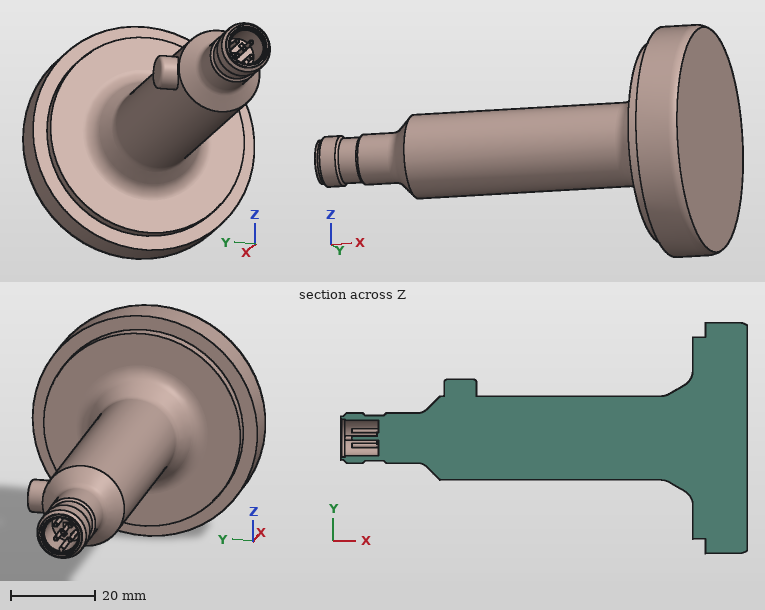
import cadquery as cq
import math

TOTAL_LENGTH = 96.59

TIP_DIA = 10.47
TIP_LENGTH = 0.65
NOSE_DIA = 12.0
GROOVE_DIA = 10.8
EDGE_CHAMFER = (NOSE_DIA - GROOVE_DIA) / 2
GROOVE_START = 5.85
GROOVE_END = 10.25

STEM_DIA = 20.0
SHOULDER_X = 23.6
SHOULDER_ANGLE = math.radians(45)
SHOULDER_FILLET = 3.0

NECK_ANGLE = math.radians(30)
NECK_FILLET = 4.0
NECK_FOOT_DIA = 32.1

STEP_DIA = 48.0
FLANGE_DIA = 54.9
FLANGE_THICKNESS = 10.0
STEP_THICKNESS = 3.0
FLANGE_X = TOTAL_LENGTH - FLANGE_THICKNESS
STEP_X = FLANGE_X - STEP_THICKNESS
RIM_ANGLE = math.radians(30)
RIM_RADIUS = 3.0
RIM_BEVEL_LENGTH = 0.45

BUTTON_DIA = 7.8
BUTTON_X = 28.4
BUTTON_TOP_Y = 14.0
BUTTON_FILLET = 0.8

MOUTH_DIA = 9.45
BORE_DIA = 8.3
THROAT_DIA = 8.9
MOUTH_DEPTH = (MOUTH_DIA - THROAT_DIA) / 2
THROAT_DEPTH = 1.0
BORE_DEPTH = 9.0

PIN_DIA = 1.0
PIN_TIP_X = 2.6
PIN_TIP_CHAMFER = 0.15
PIN_OFFSET = 1.75

TAB_LENGTH = 1.35
TAB_THICKNESS = 1.0
TAB_HEIGHT = 0.4
TAB_TILT_DEG = 45

CONTACT_EMBED = 0.5

RIB_DIA = 1.1
RIB_CENTRE_Z = -3.7
RIB_START_X = THROAT_DEPTH


def tangent_fillet_offsets(radius, angle):
    """Axial and radial travel of an arc that leaves the axis direction and turns by angle."""
    return radius * math.sin(angle), radius * (1 - math.cos(angle))


def make_body():
    tip_r = TIP_DIA / 2
    nose_r = NOSE_DIA / 2
    groove_r = GROOVE_DIA / 2
    stem_r = STEM_DIA / 2
    rim_r = FLANGE_DIA / 2

    run, rise = tangent_fillet_offsets(SHOULDER_FILLET, SHOULDER_ANGLE)
    half_run, half_rise = tangent_fillet_offsets(SHOULDER_FILLET, SHOULDER_ANGLE / 2)
    cone_r = nose_r + rise
    cone_x = SHOULDER_X - (stem_r - cone_r) / math.tan(SHOULDER_ANGLE)
    fillet_x = cone_x - run

    foot_r = NECK_FOOT_DIA / 2
    foot_fillet_x = STEP_X - NECK_FILLET
    flare_end_x = foot_fillet_x + NECK_FILLET * math.sin(NECK_ANGLE)
    flare_end_r = foot_r - NECK_FILLET * math.cos(NECK_ANGLE)
    foot_mid_angle = NECK_ANGLE / 2
    foot_mid_x = foot_fillet_x + NECK_FILLET * math.cos(foot_mid_angle)
    foot_mid_r = foot_r - NECK_FILLET * math.sin(foot_mid_angle)
    neck_run, neck_rise = tangent_fillet_offsets(NECK_FILLET, NECK_ANGLE)
    neck_half_run, neck_half_rise = tangent_fillet_offsets(NECK_FILLET, NECK_ANGLE / 2)
    flare_start_r = stem_r + neck_rise
    flare_start_x = flare_end_x - (flare_end_r - flare_start_r) / math.tan(NECK_ANGLE)
    neck_x = flare_start_x - neck_run

    rim_run, rim_drop = tangent_fillet_offsets(RIM_RADIUS, RIM_ANGLE)
    rim_half_run, rim_half_drop = tangent_fillet_offsets(RIM_RADIUS, RIM_ANGLE / 2)
    bevel_x = TOTAL_LENGTH - RIM_BEVEL_LENGTH
    bevel_r = rim_r - rim_drop
    rim_x = bevel_x - rim_run
    end_r = bevel_r - RIM_BEVEL_LENGTH * math.tan(RIM_ANGLE)

    profile = (
        cq.Workplane("XY")
        .moveTo(0, 0)
        .lineTo(0, tip_r)
        .lineTo(TIP_LENGTH, tip_r)
        .lineTo(TIP_LENGTH + nose_r - tip_r, nose_r)
        .lineTo(GROOVE_START - EDGE_CHAMFER, nose_r)
        .lineTo(GROOVE_START, groove_r)
        .lineTo(GROOVE_END, groove_r)
        .lineTo(GROOVE_END + EDGE_CHAMFER, nose_r)
        .lineTo(fillet_x, nose_r)
        .threePointArc((fillet_x + half_run, nose_r + half_rise), (cone_x, cone_r))
        .lineTo(SHOULDER_X, stem_r)
        .lineTo(neck_x, stem_r)
        .threePointArc(
            (neck_x + neck_half_run, stem_r + neck_half_rise),
            (flare_start_x, flare_start_r),
        )
        .lineTo(flare_end_x, flare_end_r)
        .threePointArc((foot_mid_x, foot_mid_r), (STEP_X, foot_r))
        .lineTo(STEP_X, STEP_DIA / 2)
        .lineTo(FLANGE_X, STEP_DIA / 2)
        .lineTo(FLANGE_X, rim_r)
        .lineTo(rim_x, rim_r)
        .threePointArc((rim_x + rim_half_run, rim_r - rim_half_drop), (bevel_x, bevel_r))
        .lineTo(TOTAL_LENGTH, end_r)
        .lineTo(TOTAL_LENGTH, 0)
        .close()
    )
    return profile.revolve(360, (0, 0, 0), (1, 0, 0))


def make_button():
    return (
        cq.Workplane("XZ")
        .center(BUTTON_X, 0)
        .circle(BUTTON_DIA / 2)
        .extrude(-BUTTON_TOP_Y)
        .faces(">Y")
        .edges()
        .fillet(BUTTON_FILLET)
    )


def make_socket():
    """Bore with a wider throat and a conical mouth, as a solid to cut away."""
    profile = (
        cq.Workplane("XY")
        .moveTo(0, 0)
        .lineTo(0, MOUTH_DIA / 2)
        .lineTo(MOUTH_DEPTH, THROAT_DIA / 2)
        .lineTo(THROAT_DEPTH, THROAT_DIA / 2)
        .lineTo(THROAT_DEPTH, BORE_DIA / 2)
        .lineTo(BORE_DEPTH, BORE_DIA / 2)
        .lineTo(BORE_DEPTH, 0)
        .close()
    )
    return profile.revolve(360, (0, 0, 0), (1, 0, 0))


def make_contact(y, z, tab_angle):
    """Pin and its tab; tab_angle turns the tab about X, starting from +Y."""
    pin = (
        cq.Workplane("YZ", origin=(PIN_TIP_X, 0, 0))
        .circle(PIN_DIA / 2)
        .extrude(BORE_DEPTH + CONTACT_EMBED - PIN_TIP_X)
        .faces("<X")
        .chamfer(PIN_TIP_CHAMFER)
    )
    tab = (
        cq.Workplane("YZ", origin=(BORE_DEPTH - TAB_HEIGHT, 0, 0))
        .center(TAB_LENGTH / 2, 0)
        .rect(TAB_LENGTH, TAB_THICKNESS)
        .extrude(TAB_HEIGHT + CONTACT_EMBED)
        .rotate((0, 0, 0), (1, 0, 0), tab_angle)
    )
    return pin.union(tab).translate((0, y, z))


def make_rib():
    return (
        cq.Workplane("YZ", origin=(RIB_START_X, 0, 0))
        .center(0, RIB_CENTRE_Z)
        .circle(RIB_DIA / 2)
        .extrude(BORE_DEPTH - RIB_START_X)
    )


result = make_body().union(make_button()).cut(make_socket()).union(make_rib())
result = result.union(make_contact(0, 0, 0))
for side_z in (-1, 1):
    result = result.union(make_contact(-PIN_OFFSET, side_z * PIN_OFFSET, side_z * TAB_TILT_DEG))
    result = result.union(make_contact(PIN_OFFSET, side_z * PIN_OFFSET, side_z * (180 - TAB_TILT_DEG)))